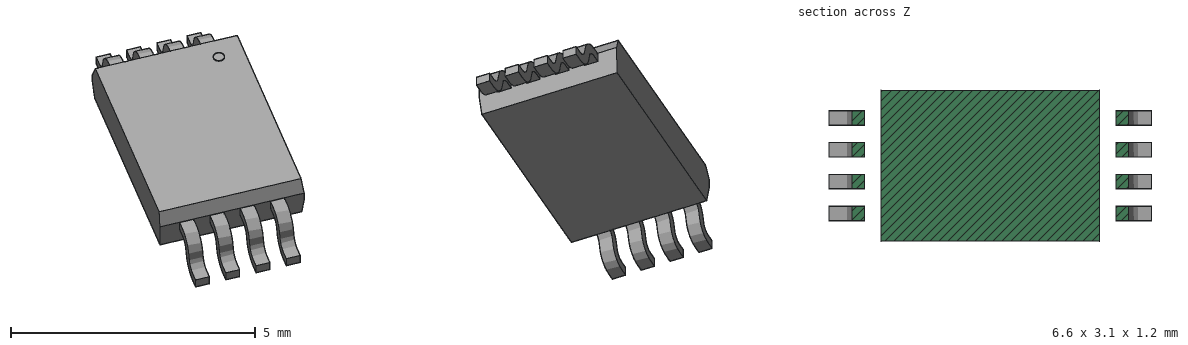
import cadquery as cq
import math

overall_length = 6.6
overall_height = 1.2

body_length = 4.5
body_width = 3.1
body_bottom_z = 0.25
belt_bottom_z = 0.67
belt_top_z = 0.87
body_top_z = 1.18
top_inset_x = 0.13
bottom_inset_x = 0.075
end_inset_y = 0.025

leads_per_side = 4
lead_pitch = 0.65
lead_width = 0.3
lead_thickness = 0.21
lead_top_z = 0.86
foot_length = 0.185
inner_bend_radius = 0.23
bend_angle = math.radians(75)
lead_embed = 0.2

mark_diameter = 0.23
mark_x = -1.65
mark_y = lead_pitch * (leads_per_side - 1) / 2


def tapered_cap(base_z, end_z, inset_x):
    """Four-sided cap running from the belt outline to a smaller end face."""
    return (
        cq.Workplane("XY")
        .workplane(offset=base_z)
        .rect(body_length, body_width)
        .workplane(offset=end_z - base_z)
        .rect(body_length - 2 * inset_x, body_width - 2 * end_inset_y)
        .loft(ruled=True)
    )


def make_body():
    belt = (
        cq.Workplane("XY")
        .workplane(offset=belt_bottom_z)
        .rect(body_length, body_width)
        .extrude(belt_top_z - belt_bottom_z)
    )
    upper_cap = tapered_cap(belt_top_z, body_top_z, top_inset_x)
    lower_cap = tapered_cap(belt_bottom_z, body_bottom_z, bottom_inset_x)
    return belt.union(upper_cap).union(lower_cap)


def make_lead(y):
    """Lead on the -X side, centred on y: foot, bend, sloped leg, bend, shoulder."""
    outer_bend_radius = inner_bend_radius + lead_thickness
    middle_radius = (inner_bend_radius + outer_bend_radius) / 2

    rise = lead_top_z - lead_thickness
    leg_rise = rise - 2 * middle_radius * (1 - math.cos(bend_angle))
    leg_run = leg_rise / math.tan(bend_angle)

    toe_x = -overall_length / 2
    low_x = toe_x + foot_length
    low_z = outer_bend_radius
    high_x = low_x + 2 * middle_radius * math.sin(bend_angle) + leg_run
    high_z = lead_top_z - outer_bend_radius
    root_x = -body_length / 2 + lead_embed

    def low_bend(radius, angle):
        return (low_x + radius * math.sin(angle), low_z - radius * math.cos(angle))

    def high_bend(radius, angle):
        return (high_x - radius * math.sin(angle), high_z + radius * math.cos(angle))

    half_angle = bend_angle / 2
    profile = (
        cq.Workplane("XZ", origin=(0, y + lead_width / 2, 0))
        .moveTo(toe_x, 0)
        .lineTo(low_x, 0)
        .threePointArc(low_bend(outer_bend_radius, half_angle), low_bend(outer_bend_radius, bend_angle))
        .lineTo(*high_bend(inner_bend_radius, bend_angle))
        .threePointArc(high_bend(inner_bend_radius, half_angle), high_bend(inner_bend_radius, 0))
        .lineTo(root_x, lead_top_z - lead_thickness)
        .lineTo(root_x, lead_top_z)
        .lineTo(high_x, lead_top_z)
        .threePointArc(high_bend(outer_bend_radius, half_angle), high_bend(outer_bend_radius, bend_angle))
        .lineTo(*low_bend(inner_bend_radius, bend_angle))
        .threePointArc(low_bend(inner_bend_radius, half_angle), low_bend(inner_bend_radius, 0))
        .lineTo(toe_x, lead_thickness)
        .close()
    )
    return profile.extrude(lead_width)


def make_pin_1_mark():
    return (
        cq.Workplane("XY", origin=(mark_x, mark_y, body_top_z))
        .circle(mark_diameter / 2)
        .extrude(overall_height - body_top_z)
    )


result = make_body().union(make_pin_1_mark())
for index in range(leads_per_side):
    lead_y = (index - (leads_per_side - 1) / 2) * lead_pitch
    left_lead = make_lead(lead_y)
    result = result.union(left_lead).union(left_lead.mirror("YZ"))